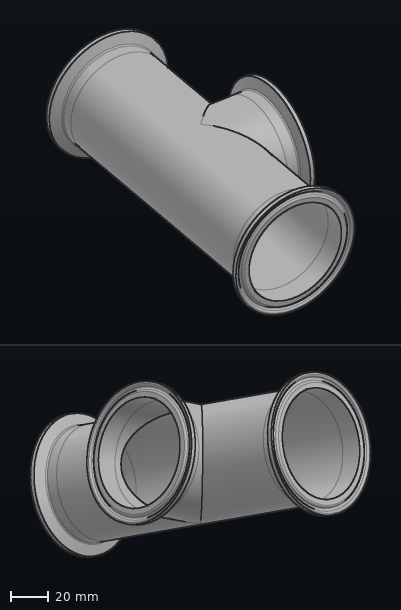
import math

import cadquery as cq


tube_diameter = 63.5
bore_diameter = 60.2
run_length = 177.8
branch_reach = 47.625

ferrule_length = 12.7
flange_diameter = 77.39
rim_thickness = 2.8
cone_angle = math.radians(20)
neck_fillet = 1.0

groove_radius = 35.4
groove_half_width = 2.2
groove_bottom_half_width = 0.9
groove_depth = 1.6

tube_radius = tube_diameter / 2
bore_radius = bore_diameter / 2
flange_radius = flange_diameter / 2
run_half = run_length / 2


def groove_half_points(side):
    """Points of one half of the groove, lip to bottom; side is -1 inside, +1 outside."""
    sweep = 2 * math.atan(groove_depth / groove_half_width)
    bottom_arc = groove_bottom_half_width / math.sin(sweep)
    lip_arc = groove_half_width / math.sin(sweep) - bottom_arc
    lip = (groove_radius + side * groove_half_width, 0)
    lip_middle = (
        lip[0] - side * lip_arc * math.sin(sweep / 2),
        lip_arc * (1 - math.cos(sweep / 2)),
    )
    blend = (
        groove_radius + side * groove_bottom_half_width,
        lip_arc * (1 - math.cos(sweep)),
    )
    return lip, lip_middle, blend


def make_ferrule():
    """Ferrule about Z with its end face at Z = 0 and its weld end at +Z."""
    inner_lip, inner_lip_middle, inner_blend = groove_half_points(-1)
    outer_lip, outer_lip_middle, outer_blend = groove_half_points(1)

    cone_end = rim_thickness + (flange_radius - tube_radius) * math.tan(cone_angle)
    turn = math.pi / 2 - cone_angle
    tangent_length = neck_fillet * math.tan(turn / 2)
    fillet_start = (
        tube_radius + tangent_length * math.cos(cone_angle),
        cone_end - tangent_length * math.sin(cone_angle),
    )
    fillet_end = (tube_radius, cone_end + tangent_length)
    fillet_middle = (
        tube_radius + neck_fillet * (1 - math.cos(turn / 2)),
        fillet_end[1] - neck_fillet * math.sin(turn / 2),
    )

    profile = (
        cq.Workplane("XZ")
        .moveTo(bore_radius, 0)
        .lineTo(*inner_lip)
        .threePointArc(inner_lip_middle, inner_blend)
        .threePointArc((groove_radius, groove_depth), outer_blend)
        .threePointArc(outer_lip_middle, outer_lip)
        .lineTo(flange_radius, 0)
        .lineTo(flange_radius, rim_thickness)
        .lineTo(*fillet_start)
        .threePointArc(fillet_middle, fillet_end)
        .lineTo(tube_radius, ferrule_length)
        .lineTo(bore_radius, ferrule_length)
        .close()
    )
    return profile.revolve(360, (0, 0, 0), (0, 1, 0))


def make_tee_body(radius):
    """Run and branch cylinders, stopping where the ferrules begin."""
    run_body_length = run_length - 2 * ferrule_length
    run = cq.Workplane("YZ").circle(radius).extrude(run_body_length / 2, both=True)
    branch = cq.Workplane("XZ").circle(radius).extrude(-(branch_reach - ferrule_length))
    return run.union(branch)


ferrule = make_ferrule()
ferrules = [
    ferrule.rotate((0, 0, 0), (0, 1, 0), 90).translate((-run_half, 0, 0)),
    ferrule.rotate((0, 0, 0), (0, 1, 0), -90).translate((run_half, 0, 0)),
    ferrule.rotate((0, 0, 0), (1, 0, 0), 90).translate((0, branch_reach, 0)),
]

result = make_tee_body(tube_radius).cut(make_tee_body(bore_radius))
for end_ferrule in ferrules:
    result = result.union(end_ferrule, clean=False)